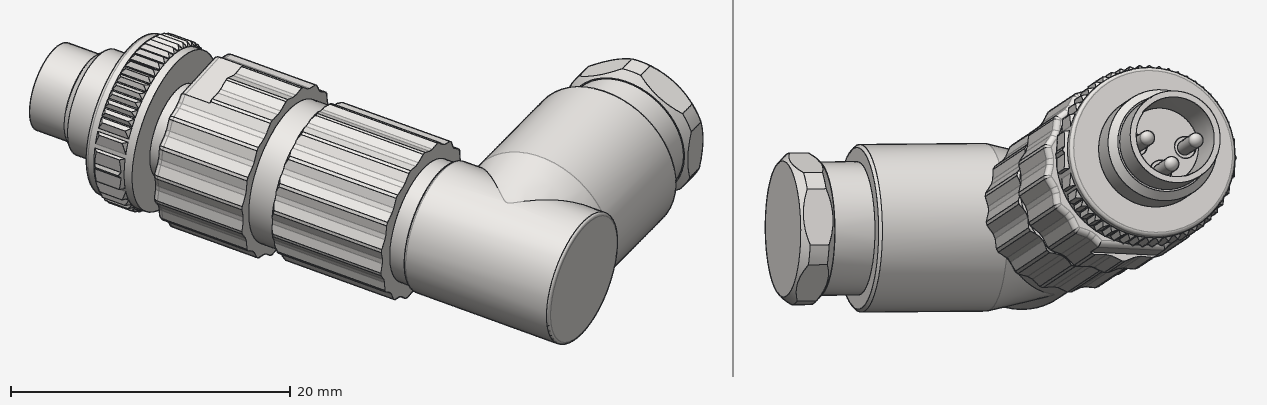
import cadquery as cq
import math


LENGTH = 43.85
NOSE_END = 2.95
CONE_END = 3.55
RING_START = 6.2
KNURL_START = 6.95
KNURL_END = 9.43
RING_END = 10.1
SLEEVE_START = 11.93
FLAT_END = 14.4
SLEEVE_END = 19.35
GRIP_START = 21.45
GRIP_END = 30.5
ELBOW_START = 31.8

NOSE_RADIUS = 3.35
CONE_RADIUS = 3.45
COLLAR_RADIUS = 4.05
NECK_RADIUS = 3.6
RING_RADIUS = 6.15
KNURL_RADIUS = 6.45
SLEEVE_RADIUS = 6.55
WAIST_RADIUS = 5.5
GRIP_RADIUS = 6.0
REAR_NECK_RADIUS = 4.7
ELBOW_RADIUS = 5.0

RING_EDGE = 0.25
KNURL_EDGE = 0.3
SLEEVE_EDGE = 0.45
GRIP_EDGE = 0.18
ELBOW_EDGE = 0.2

SOCKET_DEPTH = 3.95
SOCKET_MOUTH_RADIUS = 2.9
SOCKET_FLOOR_RADIUS = 2.75
PIN_RADIUS = 0.53
PIN_TIP = 0.5
PIN_CIRCLE_RADIUS = 1.8
PIN_RECESS_RADIUS = 0.8
PIN_RECESS_DEPTH = 0.2

TOOTH_COUNT = 56
NOTCH_DEPTH = 0.35
STEP_PITCHES = (1.9, 3.7, 5)
SIDE_TOOTH_HALF = 0.25

FLUTE_COUNT = 18
FLUTE_DEPTH = 0.25
FLUTE_FLOOR = 0.4
FLUTE_LAND = 0.25
GRIP_TWIST = 2.5
FLAT_HEIGHT = 6.0

OUTLET_TILT = 3.1
OUTLET_X = (ELBOW_START + LENGTH) / 2
OUTLET_RADIUS = 6.0
OUTLET_BASE = 4.0
ROOT_SINK = 0.01
SHOULDER_END = 13.5
OUTLET_NECK_RADIUS = 4.8
NUT_START = 16.5
NUT_END = 19.05
NUT_FLATS = 10.1
NUT_RADIUS = 5.45
NUT_EDGE = 0.55


def polar(radius, degrees):
    angle = math.radians(degrees)
    return radius * math.cos(angle), radius * math.sin(angle)


def cylinder(start, end, radius):
    """Cylinder around the plug axis."""
    return cq.Workplane("YZ", origin=(start, 0, 0)).circle(radius).extrude(end - start)


def nose():
    """Open nose, cone and collar, running back as a narrow neck to the sleeve."""
    outline = [
        (0, 0),
        (0, NOSE_RADIUS),
        (NOSE_END, NOSE_RADIUS),
        (NOSE_END, CONE_RADIUS),
        (CONE_END, COLLAR_RADIUS),
        (RING_START, COLLAR_RADIUS),
        (RING_START, NECK_RADIUS),
        (SLEEVE_START, NECK_RADIUS),
        (SLEEVE_START, 0),
    ]
    body = cq.Workplane("XY").polyline(outline).close().revolve(360, (0, 0, 0), (1, 0, 0))
    socket = (
        cq.Workplane("YZ")
        .circle(SOCKET_MOUTH_RADIUS)
        .workplane(offset=SOCKET_DEPTH)
        .circle(SOCKET_FLOOR_RADIUS)
        .loft()
    )
    body = body.cut(socket)
    pin_root = SOCKET_DEPTH + PIN_RECESS_DEPTH
    for y, z in [polar(PIN_CIRCLE_RADIUS, angle) for angle in (0, 180, 270)]:
        seat = cq.Workplane("YZ", origin=(SOCKET_DEPTH, y, z))
        body = body.cut(seat.circle(PIN_RECESS_RADIUS).extrude(PIN_RECESS_DEPTH))
        dome_centre = PIN_TIP + PIN_RADIUS
        shank = cq.Workplane("YZ", origin=(dome_centre, y, z)).circle(PIN_RADIUS)
        body = body.union(shank.extrude(pin_root - dome_centre))
        body = body.union(cq.Workplane("XY").sphere(PIN_RADIUS).translate((dome_centre, y, z)))
    return body


def knurl_quarter():
    """Knurl outline points from the +Y side to just before the top."""
    pitch = 360 / TOOTH_COUNT
    points = [(KNURL_RADIUS, 0)]
    foot = SIDE_TOOTH_HALF
    for step in STEP_PITCHES:
        y, z = polar(KNURL_RADIUS, step * pitch)
        points += [(y, foot), (y, z)]
        foot = z
    for tooth in range(STEP_PITCHES[-1], TOOTH_COUNT // 4):
        points.append(polar(KNURL_RADIUS - NOTCH_DEPTH, (tooth + 0.5) * pitch))
        points.append(polar(KNURL_RADIUS, (tooth + 1) * pitch))
    return points[:-1]


def knurled_ring():
    ring = cylinder(RING_START, RING_END, RING_RADIUS).faces("<X").edges().fillet(RING_EDGE)
    right = knurl_quarter()
    top = (0, KNURL_RADIUS)
    left = [(-y, z) for y, z in reversed(right)]
    upper = right + [top] + left
    lower = [(-y, -z) for y, z in upper[1:-1]]
    outline = upper + lower
    band = cq.Workplane("YZ", origin=(KNURL_START, 0, 0)).polyline(outline).close()
    band = band.extrude(KNURL_END - KNURL_START)
    blank = cylinder(KNURL_START, KNURL_END, KNURL_RADIUS).edges().chamfer(KNURL_EDGE)
    return ring.union(band.intersect(blank))


def fluted_cylinder(start, end, radius, twist):
    """Prism whose outline repeats a land, a slope, a floor and a slope."""
    floor_radius = radius - FLUTE_DEPTH
    half_land = math.degrees(FLUTE_LAND / 2 / radius)
    half_floor = math.degrees(FLUTE_FLOOR / 2 / floor_radius)
    pitch = 360 / FLUTE_COUNT
    points = []
    for flute in range(FLUTE_COUNT):
        floor_angle = flute * pitch + twist
        land_angle = floor_angle + pitch / 2
        points += [
            polar(floor_radius, floor_angle - half_floor),
            polar(floor_radius, floor_angle + half_floor),
            polar(radius, land_angle - half_land),
            polar(radius, land_angle + half_land),
        ]
    outline = cq.Workplane("YZ", origin=(start, 0, 0)).polyline(points).close()
    return outline.extrude(end - start)


def coupling_sleeve():
    sleeve = fluted_cylinder(SLEEVE_START, SLEEVE_END, SLEEVE_RADIUS, 0)
    flat_length = FLAT_END - SLEEVE_START
    cutter_centre = 1.5 * FLAT_HEIGHT
    for side in (1, -1):
        cutter = cq.Workplane("XY").box(flat_length, 2 * SLEEVE_RADIUS, FLAT_HEIGHT)
        sleeve = sleeve.cut(cutter.translate((SLEEVE_START + flat_length / 2, 0, side * cutter_centre)))
    return sleeve.faces("<X").edges().fillet(SLEEVE_EDGE)


def grip_sleeve():
    grip = fluted_cylinder(GRIP_START, GRIP_END, GRIP_RADIUS, -GRIP_TWIST)
    blank = cylinder(GRIP_START, GRIP_END, GRIP_RADIUS).faces("<X").edges().chamfer(GRIP_EDGE)
    return grip.intersect(blank)


def cable_outlet():
    """Outlet built along +Y from the plug axis, then tilted about that axis."""
    sphere_radius = ELBOW_RADIUS - ROOT_SINK
    base_angle = math.degrees(math.atan2(OUTLET_RADIUS, OUTLET_BASE))
    base_distance = math.hypot(OUTLET_RADIUS, OUTLET_BASE)
    tangent_angle = base_angle + math.degrees(math.acos(sphere_radius / base_distance))
    root, root_radius = polar(sphere_radius, tangent_angle)
    profile = [
        (0, root),
        (root_radius, root),
        (OUTLET_RADIUS, OUTLET_BASE),
        (OUTLET_RADIUS, SHOULDER_END - ELBOW_EDGE),
        (OUTLET_RADIUS - ELBOW_EDGE, SHOULDER_END),
        (OUTLET_NECK_RADIUS, SHOULDER_END),
        (OUTLET_NECK_RADIUS, NUT_START),
        (0, NUT_START),
    ]
    outlet = cq.Workplane("XY").polyline(profile).close().revolve(360, (0, 0, 0), (0, 1, 0))
    outlet = outlet.union(nut())
    return outlet.rotate((0, 0, 0), (1, 0, 0), -OUTLET_TILT).translate((OUTLET_X, 0, 0))


def nut():
    """Hexagon nut with rounded corners and chamfered ends, two flats facing +X and -X."""
    height = NUT_END - NUT_START
    across_corners = NUT_FLATS / math.cos(math.radians(30))
    plane = cq.Workplane("XZ", origin=(0, NUT_END, 0))
    hexagon = plane.transformed(rotate=(0, 0, 90)).polygon(6, across_corners).extrude(height)
    return hexagon.intersect(plane.circle(NUT_RADIUS).extrude(height).edges().chamfer(NUT_EDGE))


result = nose()
result = result.union(knurled_ring())
result = result.union(coupling_sleeve())
result = result.union(cylinder(SLEEVE_END, GRIP_START, WAIST_RADIUS))
result = result.union(grip_sleeve())
result = result.union(cylinder(GRIP_END, ELBOW_START, REAR_NECK_RADIUS))
elbow = cylinder(ELBOW_START, LENGTH, ELBOW_RADIUS).edges().fillet(ELBOW_EDGE)
result = result.union(elbow.union(cable_outlet()))